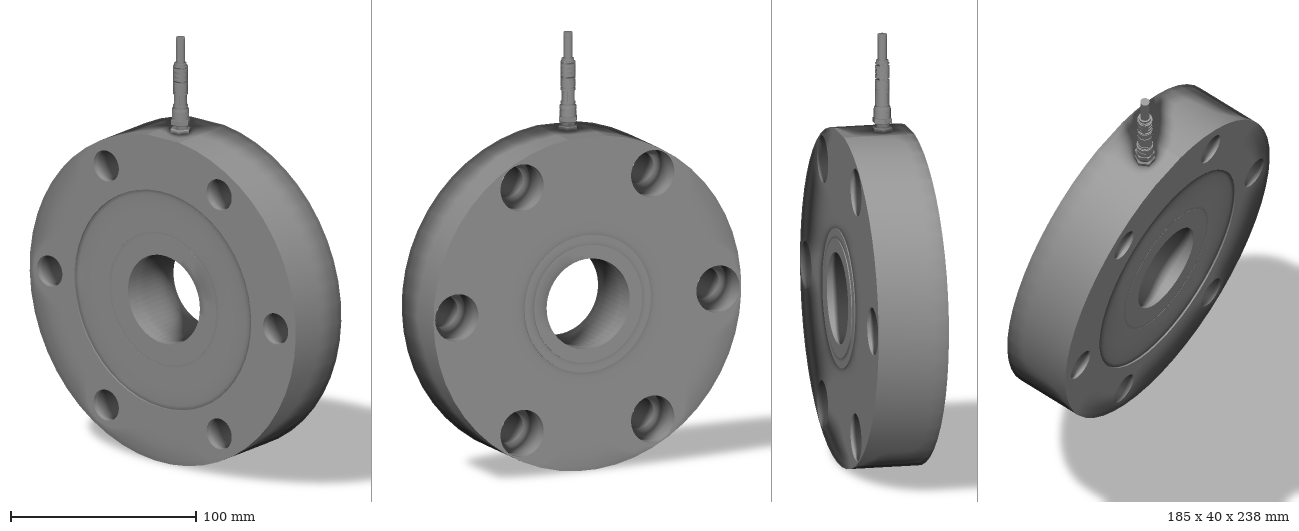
import cadquery as cq
import math

BODY_DIA = 185.0
BODY_DEPTH = 40.0
BACK_RAISE = 1.0
BORE_DIA = 50.0
HUB_DIA = 76.0
BACK_STEP = 0.5
BACK_PAD_DIA = 65.0
FRONT_RECESS_DIA = 123.0
FRONT_RECESS_DEPTH = 1.0
GROOVE_WIDTH = 1.5
GROOVE_DEPTH = 0.1

BOLT_COUNT = 6
BOLT_CIRCLE_DIA = 157.0
BOLT_HOLE_DIA = 17.5
COUNTERBORE_DIA = 26.0
COUNTERBORE_DEPTH = 17.0

FLAT_CUT = 0.7

flange_back = BODY_DEPTH - BACK_RAISE
flat_z = BODY_DIA / 2 - FLAT_CUT

CONNECTOR_Y = 15.2

BASE_HEX_FLATS = 10.0
BASE_HEX_HEIGHT = 2.2
NECK_DIA = 8.0
NECK_FLATS = 7.0
NECK_HEIGHT = 2.0
NUT_FLATS = 9.3
NUT_HEIGHT = 2.9
NUT_COLLAR_DIA = 8.0
NUT_COLLAR_HEIGHT = 0.3
HEX_CHAMFER = 0.4

COUPLING_DIA = 9.2
COUPLING_HEIGHT = 6.0
COUPLING_TAPER_LENGTH = 1.0
COUPLING_TAPER_DEPTH = 0.1
COUPLING_SLOT_DROP = 2.3
COUPLING_SLOT_HEIGHT = 0.6
COUPLING_SLOT_DEPTH = 0.3
COUPLING_RIB_WIDTH = 6.5

PLUG_DIA = 8.0
PLUG_HEIGHT = 14.8
PLUG_GROOVE_DIA = 7.25
PLUG_GROOVE_HEIGHT = 0.6
PLUG_UPPER_GROOVE_DROP = 0.3
PLUG_MIDDLE_GROOVE_DROP = 4.7
PLUG_LOWER_GROOVE_DROP = 13.7
GRIP_BOTTOM = 2.0
GRIP_HEIGHT = 6.2
GRIP_RIB_WIDTH = 3.5

BOOT_DIA = 8.0
BOOT_HEIGHT = 11.1
BOOT_TIP_DIA = 6.75
BOOT_TIP_HEIGHT = 1.6
BOOT_SLIT_HEIGHT = 1.2
BOOT_SLIT_PITCH = 2.6
BOOT_FIRST_SLIT = 0.2
DEEP_WEB_SIZE = (6.75, 4.3)
SHALLOW_WEB_SIZE = (7.6, 6.75)

CABLE_DIA = 5.0
OVERALL_HEIGHT = 237.99

nut_bottom = flat_z + BASE_HEX_HEIGHT + NECK_HEIGHT
coupling_bottom = nut_bottom + NUT_HEIGHT + NUT_COLLAR_HEIGHT
plug_bottom = coupling_bottom + COUPLING_HEIGHT
boot_bottom = plug_bottom + PLUG_HEIGHT
cable_bottom = boot_bottom + BOOT_HEIGHT
cable_top = OVERALL_HEIGHT - BODY_DIA / 2


def disc(dia, y_front, y_back):
    """Solid cylinder along Y between two depths."""
    return cq.Workplane("XZ", origin=(0, y_front, 0)).circle(dia / 2).extrude(y_front - y_back)


def post(dia, bottom, height):
    """Solid cylinder along the connector axis."""
    return cq.Workplane("XY", origin=(0, CONNECTOR_Y, bottom)).circle(dia / 2).extrude(height)


def block(x_size, y_size, bottom, height):
    """Box centred on the connector axis."""
    return cq.Workplane("XY", origin=(0, CONNECTOR_Y, bottom)).rect(x_size, y_size).extrude(height)


def hexagon(flats, bottom, height):
    """Hexagonal prism on the connector axis with two corners along X."""
    corners = flats / math.cos(math.pi / 6)
    return cq.Workplane("XY", origin=(0, CONNECTOR_Y, bottom)).polygon(6, corners).extrude(height)


def ring_groove(outer_dia, inner_dia, bottom, height):
    """Annular cutter around the connector axis."""
    return post(outer_dia, bottom, height).cut(post(inner_dia, bottom, height))


def make_body():
    body = disc(BODY_DIA, 0, flange_back)
    body = body.union(disc(HUB_DIA, flange_back, flange_back + BACK_STEP))
    body = body.union(disc(BACK_PAD_DIA, flange_back, BODY_DEPTH))
    body = body.cut(disc(FRONT_RECESS_DIA, 0, FRONT_RECESS_DEPTH))

    groove_floor = FRONT_RECESS_DEPTH + GROOVE_DEPTH
    for outer_dia in (FRONT_RECESS_DIA, HUB_DIA):
        groove = disc(outer_dia, FRONT_RECESS_DEPTH, groove_floor)
        groove = groove.cut(disc(outer_dia - 2 * GROOVE_WIDTH, FRONT_RECESS_DEPTH, groove_floor))
        body = body.cut(groove)

    body = body.cut(disc(BORE_DIA, 0, BODY_DEPTH))

    bolt_hole = disc(BOLT_HOLE_DIA, 0, BODY_DEPTH)
    bolt_hole = bolt_hole.union(disc(COUNTERBORE_DIA, flange_back - COUNTERBORE_DEPTH, BODY_DEPTH))
    for index in range(BOLT_COUNT):
        placed = bolt_hole.translate((BOLT_CIRCLE_DIA / 2, 0, 0))
        body = body.cut(placed.rotate((0, 0, 0), (0, 1, 0), index * 360 / BOLT_COUNT))

    flat_cutter = cq.Workplane("XY", origin=(0, BODY_DEPTH / 2, flat_z))
    return body.cut(flat_cutter.rect(BODY_DIA, BODY_DEPTH).extrude(2 * FLAT_CUT))


def make_socket():
    base = hexagon(BASE_HEX_FLATS, flat_z, BASE_HEX_HEIGHT).faces(">Z").chamfer(HEX_CHAMFER)
    neck_bottom = flat_z + BASE_HEX_HEIGHT
    neck = post(NECK_DIA, neck_bottom, NECK_HEIGHT)
    neck = neck.intersect(block(NECK_DIA, NECK_FLATS, neck_bottom, NECK_HEIGHT))
    return base.union(neck)


def make_nut():
    nut = hexagon(NUT_FLATS, nut_bottom, NUT_HEIGHT).faces("<Z").chamfer(HEX_CHAMFER)
    return nut.union(post(NUT_COLLAR_DIA, nut_bottom + NUT_HEIGHT, NUT_COLLAR_HEIGHT))


def make_coupling():
    coupling = post(COUPLING_DIA, coupling_bottom, COUPLING_HEIGHT)
    coupling = coupling.faces(">Z").chamfer(COUPLING_TAPER_LENGTH, COUPLING_TAPER_DEPTH)
    slot_z = plug_bottom - COUPLING_SLOT_DROP - COUPLING_SLOT_HEIGHT
    slots = ring_groove(COUPLING_DIA, COUPLING_DIA - 2 * COUPLING_SLOT_DEPTH, slot_z, COUPLING_SLOT_HEIGHT)
    return coupling.cut(slots.cut(block(COUPLING_RIB_WIDTH, COUPLING_DIA, slot_z, COUPLING_SLOT_HEIGHT)))


def make_plug():
    plug = post(PLUG_DIA, plug_bottom, PLUG_HEIGHT)
    for drop in (PLUG_UPPER_GROOVE_DROP, PLUG_MIDDLE_GROOVE_DROP, PLUG_LOWER_GROOVE_DROP):
        groove_z = boot_bottom - drop - PLUG_GROOVE_HEIGHT
        plug = plug.cut(ring_groove(PLUG_DIA, PLUG_GROOVE_DIA, groove_z, PLUG_GROOVE_HEIGHT))
    grip_z = plug_bottom + GRIP_BOTTOM
    grips = ring_groove(PLUG_DIA, PLUG_GROOVE_DIA, grip_z, GRIP_HEIGHT)
    return plug.cut(grips.cut(block(GRIP_RIB_WIDTH, PLUG_DIA, grip_z, GRIP_HEIGHT)))


def make_boot():
    boot = post(BOOT_DIA, boot_bottom, BOOT_HEIGHT - BOOT_TIP_HEIGHT)
    boot = boot.union(post(BOOT_TIP_DIA, cable_bottom - BOOT_TIP_HEIGHT, BOOT_TIP_HEIGHT))
    webs = [DEEP_WEB_SIZE, SHALLOW_WEB_SIZE, SHALLOW_WEB_SIZE, DEEP_WEB_SIZE]
    for index, web in enumerate(webs):
        slit_z = boot_bottom + BOOT_FIRST_SLIT + index * BOOT_SLIT_PITCH
        slit = block(2 * BOOT_DIA, 2 * BOOT_DIA, slit_z, BOOT_SLIT_HEIGHT)
        boot = boot.cut(slit.cut(block(*web, slit_z, BOOT_SLIT_HEIGHT)))
    return boot


def make_cable():
    return post(CABLE_DIA, cable_bottom, cable_top - cable_bottom)


body = make_body()
socket = make_socket()
nut = make_nut()
coupling = make_coupling()
plug = make_plug()
boot = make_boot()
cable = make_cable()

parts = [body, socket, nut, coupling, plug, boot, cable]
result = cq.Compound.makeCompound([part.val() for part in parts])